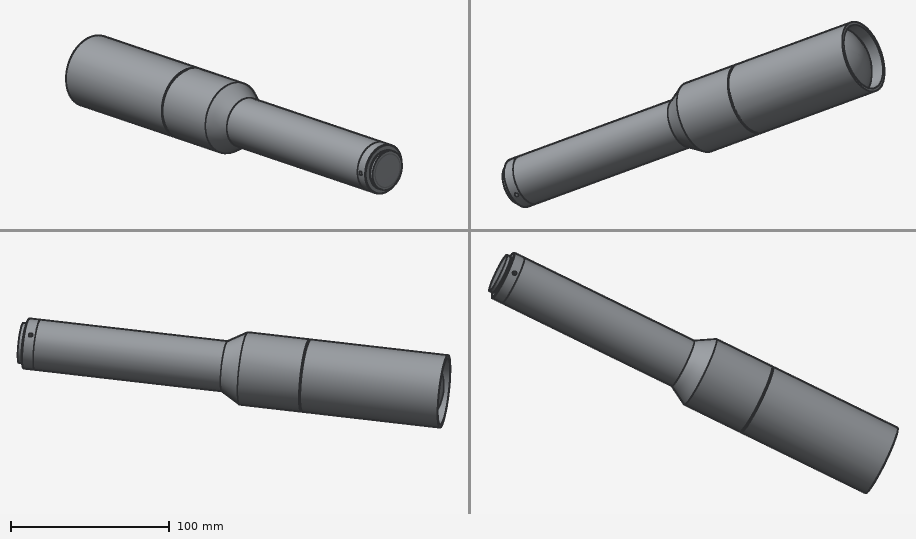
import cadquery as cq
import math

head_radius = 46.0 / 2
groove_radius = 44.2 / 2
front_bore_radius = 42.0 / 2
tube_radius = 32.0 / 2
front_lens_edge_x = 8.7
front_lens_rise = 8.1
groove_x = 88.0
groove_width = 0.8
cone_start_x = 128.0
cone_end_x = 140.3
joint_x = 260.3

flange_end_x = 267.5
flange_chamfer = 0.4
relief_radius = 24.7 / 2
relief_width = 0.8
thread_radius = 25.5 / 2
thread_end_x = 270.8
overall_length = 271.5
rear_lens_radius = 10.9
rear_lens_rise = overall_length - thread_end_x

screw_hole_diameter = 2.5
screw_hole_depth = 5.5
screw_hole_x = 263.2
screw_hole_count = 3
first_screw_angle = 180.0


def lens_height(rise, edge_radius, radius):
    """Height at a given radius of a spherical lens face above its edge."""
    sphere_radius = (edge_radius**2 + rise**2) / (2 * rise)
    return math.sqrt(sphere_radius**2 - radius**2) - (sphere_radius - rise)


def revolve_about_x(profile):
    """Turn a closed half profile in the XY plane into a solid about the X axis."""
    return profile.close().revolve(360, (0, 0, 0), (1, 0, 0))


def make_barrel():
    """Stepped barrel with a domed lens face recessed in its front end."""
    middle_radius = front_bore_radius / 2
    middle_height = lens_height(front_lens_rise, front_bore_radius, middle_radius)
    groove_end_x = groove_x + groove_width
    profile = (
        cq.Workplane("XY")
        .moveTo(front_lens_edge_x - front_lens_rise, 0)
        .threePointArc(
            (front_lens_edge_x - middle_height, middle_radius),
            (front_lens_edge_x, front_bore_radius),
        )
        .lineTo(0, front_bore_radius)
        .lineTo(0, head_radius)
        .lineTo(groove_x, head_radius)
        .lineTo(groove_x, groove_radius)
        .lineTo(groove_end_x, groove_radius)
        .lineTo(groove_end_x, head_radius)
        .lineTo(cone_start_x, head_radius)
        .lineTo(cone_end_x, tube_radius)
        .lineTo(joint_x, tube_radius)
        .lineTo(joint_x, 0)
    )
    return revolve_about_x(profile)


def make_screw_hole(angle):
    """Radial cutter for one set screw hole, at an angle about X from +Y."""
    bottom_radius = tube_radius - screw_hole_depth
    return (
        cq.Workplane("XZ", origin=(screw_hole_x, bottom_radius, 0))
        .circle(screw_hole_diameter / 2)
        .extrude(-tube_radius)
        .rotate((0, 0, 0), (1, 0, 0), angle)
    )


def make_mount():
    """Flange and threaded neck with a domed rear face and set screw holes."""
    middle_radius = rear_lens_radius / 2
    middle_height = lens_height(rear_lens_rise, rear_lens_radius, middle_radius)
    relief_end_x = flange_end_x + relief_width
    profile = (
        cq.Workplane("XY")
        .moveTo(joint_x, 0)
        .lineTo(joint_x, tube_radius)
        .lineTo(flange_end_x - flange_chamfer, tube_radius)
        .lineTo(flange_end_x, tube_radius - flange_chamfer)
        .lineTo(flange_end_x, relief_radius)
        .lineTo(relief_end_x, relief_radius)
        .lineTo(relief_end_x, thread_radius)
        .lineTo(thread_end_x, thread_radius)
        .lineTo(thread_end_x, rear_lens_radius)
        .threePointArc(
            (thread_end_x + middle_height, middle_radius),
            (overall_length, 0),
        )
    )
    mount = revolve_about_x(profile)
    for index in range(screw_hole_count):
        angle = first_screw_angle + index * 360 / screw_hole_count
        mount = mount.cut(make_screw_hole(angle))
    return mount


barrel = make_barrel()
mount = make_mount()
result = cq.Compound.makeCompound([barrel.val(), mount.val()])